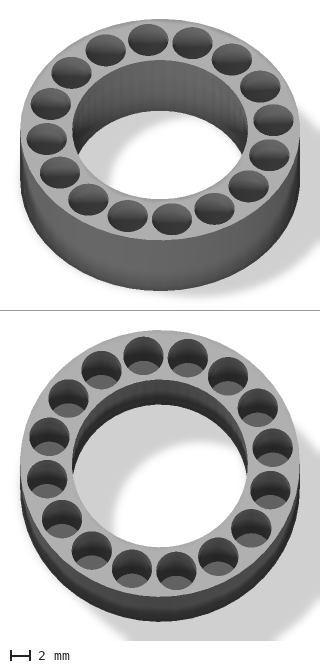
import cadquery as cq

outer_diameter = 28.0
bore_diameter = 17.6
height = 8.3

pocket_count = 16
pocket_diameter = 4.04
floor_thickness = 0.3
pocket_depth = height - floor_thickness
pocket_circle_radius = (outer_diameter + bore_diameter) / 4


def make_ring():
    """Plain ring standing on the XY plane."""
    return (
        cq.Workplane("XY")
        .circle(outer_diameter / 2)
        .circle(bore_diameter / 2)
        .extrude(height)
    )


def make_pockets():
    """Cylinders to remove, evenly spaced with the first one on +X."""
    return (
        cq.Workplane("XY")
        .workplane(offset=floor_thickness)
        .polarArray(pocket_circle_radius, 0, 360, pocket_count)
        .circle(pocket_diameter / 2)
        .extrude(pocket_depth)
    )


result = make_ring().cut(make_pockets())